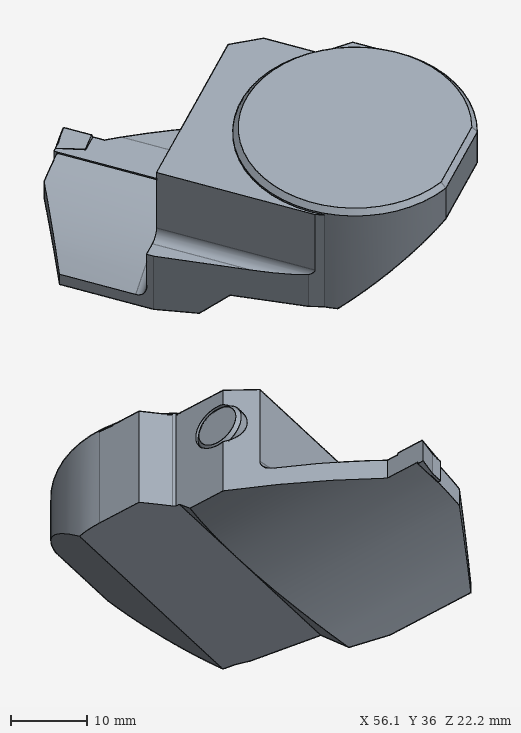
import cadquery as cq
import math

LENGTH = 56.1
WIDTH = 36.0
HEIGHT = 22.2
MARGIN = 5.6

HEAD_RADIUS = 16.05
HEAD_X = 41.1
HEAD_Y = WIDTH - HEAD_RADIUS
HEAD_CHAMFER = 0.75

BLOCK_TOP = 21.2
BLOCK_FACE_X = 19.5
BLOCK_BACK_Y = 32.55
BLOCK_BACK_START_X = 23.45
LUG_START_X = 31.25
LUG_CORNER_X = 34.6
SHOULDER_Y = 3.65
FLANK_START_X = 20.55
FLANK_END_X = 40.95
FLANK_END_Y = 3.35
HEAD_JOIN_X = 43.0
LEDGE_Z = 9.65
FILLET_RADIUS = 1.5

BASE_Z = 4.55
BASE_START_X = 30.65
BASE_END_X = 44.7
SKIRT_END_X = 26.4

BLADE_TOP_Z = 7.85
BLADE_EDGE_TOP_Z = 1.85
BLADE_FRONT_X = 0.9
BLADE_BEVEL_Y = 11.0
BLADE_BEVEL_X = 7.3
BLADE_NECK_X = 5.9

STRIP_Z = BLADE_TOP_Z - 0.03
STRIP_NEAR_Y = 15.7
STRIP_FAR_Y = 20.1
STRIP_BEND_Y = 17.45
TIP_SETBACK = 0.45
TIP_TOP_Z = 8.15
TIP_BOTTOM_Z = 4.25
RAKE_END_Y = 16.25
RAKE_BACK_X = 4.25
RAKE_WALL_ANGLE = 30
RECESS_TOP_Z = 9.7
RECESS_DEPTH = 0.1

SCREW_RADIUS = 3.55
SCREW_X = 24.4
SCREW_Z = 15.2
SCREW_LENGTH = 11.2
SCREW_CHAMFER = 0.5


def plan_prism(points, bottom, top):
    """Extrude an outline in X and Y between two heights."""
    return cq.Workplane("XY", origin=(0, 0, bottom)).polyline(points).close().extrude(top - bottom)


def arch_radius(drop):
    """Radius of an arc that falls by drop between its crown and Y = 0."""
    return (HEAD_Y**2 + drop**2) / (2 * drop)


def arch_cylinder(crown_z, radius):
    """Cylinder along X whose crown is at the given height."""
    return (
        cq.Workplane("YZ", origin=(-MARGIN, 0, 0))
        .center(HEAD_Y, crown_z - radius)
        .circle(radius)
        .extrude(LENGTH + 2 * MARGIN)
    )


def make_block():
    head_join_y = HEAD_Y - math.sqrt(HEAD_RADIUS**2 - (HEAD_JOIN_X - HEAD_X) ** 2)
    outline = [
        (BLADE_FRONT_X, STRIP_FAR_Y),
        (BLADE_FRONT_X, BLADE_BEVEL_Y),
        (BLADE_BEVEL_X, 0),
        (FLANK_START_X, 0),
        (FLANK_END_X, FLANK_END_Y),
        (HEAD_JOIN_X, head_join_y),
        (HEAD_X, HEAD_Y),
        (HEAD_X, WIDTH),
        (LUG_CORNER_X, WIDTH),
        (LUG_START_X, BLOCK_BACK_Y),
        (BLOCK_BACK_START_X, BLOCK_BACK_Y),
        (BLADE_NECK_X, STRIP_FAR_Y),
    ]
    return plan_prism(outline, 0, BLOCK_TOP)


def make_head():
    head = cq.Workplane("XY").center(HEAD_X, HEAD_Y).circle(HEAD_RADIUS).extrude(HEIGHT)
    beyond_flat = cq.Workplane("XY").box(MARGIN, WIDTH, HEIGHT, centered=False).translate((LENGTH, 0, 0))
    return head.cut(beyond_flat).faces(">Z").chamfer(HEAD_CHAMFER)


def side_profile():
    """Block seen along Y: stepped underside with 45 degree slopes."""
    skirt_corner_z = BASE_Z - (BASE_START_X - SKIRT_END_X)
    heel_z = BASE_Z + LENGTH - BASE_END_X
    points = [
        (0, 0),
        (SKIRT_END_X - skirt_corner_z, 0),
        (BASE_START_X, BASE_Z),
        (BASE_END_X, BASE_Z),
        (LENGTH, heel_z),
        (LENGTH, HEIGHT),
        (0, HEIGHT),
    ]
    return cq.Workplane("XZ").polyline(points).close().extrude(-WIDTH)


def ledge_cutter():
    """Space above the side ledge, with a rounded inner corner."""
    size = (LENGTH, SHOULDER_Y + MARGIN, HEIGHT)
    space = cq.Workplane("XY").box(*size, centered=False).translate((0, -MARGIN, LEDGE_Z))
    return space.edges("|X and >Y and <Z").fillet(FILLET_RADIUS)


def blade_cutter():
    """Space above the arched blade, rounded where it meets the block face."""
    space = cq.Workplane("XY").box(
        BLOCK_FACE_X + MARGIN, WIDTH + 2 * MARGIN, HEIGHT + 2 * MARGIN, centered=False
    ).translate((-MARGIN, -MARGIN, -MARGIN))
    space = space.cut(arch_cylinder(BLADE_TOP_Z, arch_radius(BLADE_TOP_Z - BLADE_EDGE_TOP_Z)))
    return space.faces(">X").edges("%CIRCLE").fillet(FILLET_RADIUS)


def strip_outline(front_x, end_x, end_setback):
    """Plan of the strip; both ends have a square part and a slanted part."""
    return [
        (front_x, STRIP_FAR_Y),
        (front_x + TIP_SETBACK, STRIP_BEND_Y),
        (front_x + TIP_SETBACK, STRIP_NEAR_Y),
        (end_x, STRIP_NEAR_Y),
        (end_x, STRIP_BEND_Y),
        (end_x + end_setback, STRIP_FAR_Y),
    ]


def make_tip():
    """Cutting end with a rake face that rises toward its far side."""
    nose = plan_prism(strip_outline(0, BLADE_FRONT_X, 0), TIP_BOTTOM_Z, STRIP_Z)
    rake_plan = [
        (0, STRIP_FAR_Y),
        (TIP_SETBACK, RAKE_END_Y),
        (RAKE_BACK_X, STRIP_BEND_Y),
        (RAKE_BACK_X, STRIP_FAR_Y + MARGIN),
        (0, STRIP_FAR_Y + MARGIN),
    ]
    raised_end = (
        cq.Workplane("XY", origin=(0, 0, STRIP_Z))
        .polyline(rake_plan)
        .close()
        .extrude(TIP_TOP_Z - STRIP_Z, taper=RAKE_WALL_ANGLE)
    )
    wedge_section = [(RAKE_END_Y, STRIP_Z), (STRIP_FAR_Y, STRIP_Z), (STRIP_FAR_Y, TIP_TOP_Z)]
    wedge = cq.Workplane("YZ").polyline(wedge_section).close().extrude(RAKE_BACK_X)
    return nose.union(wedge.intersect(raised_end))


def screw_cylinder():
    return (
        cq.Workplane("XZ", origin=(SCREW_X, BLOCK_BACK_Y, SCREW_Z))
        .circle(SCREW_RADIUS)
        .extrude(SCREW_LENGTH)
    )


def make_holder():
    holder = make_block().cut(ledge_cutter()).cut(blade_cutter())

    strip = plan_prism(strip_outline(0, BLOCK_FACE_X, 0), TIP_BOTTOM_Z, STRIP_Z)
    clearance = strip_outline(-MARGIN, BLOCK_FACE_X + RECESS_DEPTH, RECESS_DEPTH)
    holder = holder.union(strip).cut(plan_prism(clearance, STRIP_Z, RECESS_TOP_Z))
    crown_space = cq.Workplane("XY").box(
        BLOCK_FACE_X - FILLET_RADIUS, WIDTH, HEIGHT, centered=False
    )
    holder = holder.cut(crown_space.translate((0, 0, STRIP_Z)))

    holder = holder.union(make_head()).intersect(side_profile())
    holder = holder.cut(arch_cylinder(BASE_Z, arch_radius(BASE_Z)))
    return holder.union(make_tip()).cut(screw_cylinder())


def make_screw():
    return screw_cylinder().faces(">Y").chamfer(SCREW_CHAMFER)


holder = make_holder()
screw = make_screw()
result = cq.Compound.makeCompound([holder.val(), screw.val()])